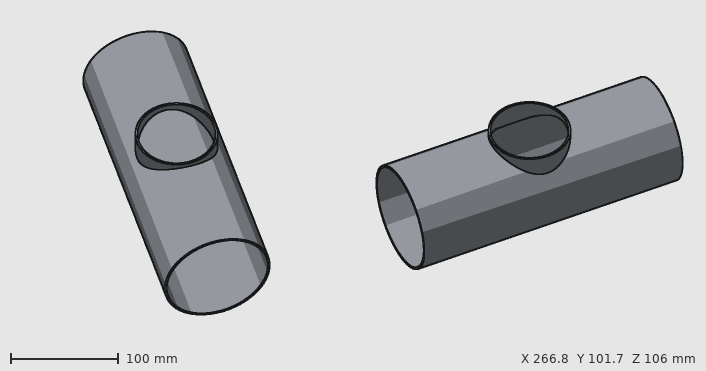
import cadquery as cq

run_length = 266.8
run_outer_diameter = 101.7
run_inner_diameter = 97.6

branch_outer_diameter = 76.3
branch_inner_diameter = 72.3
overall_height = 106.0
branch_top = overall_height - run_outer_diameter / 2


def run_cylinder(diameter):
    """Solid cylinder along the full length of the run."""
    return cq.Workplane("YZ").circle(diameter / 2).extrude(run_length / 2, both=True)


def branch_cylinder(diameter):
    """Solid cylinder from the run axis up to the branch mouth."""
    return cq.Workplane("XY").circle(diameter / 2).extrude(branch_top)


body = run_cylinder(run_outer_diameter).union(branch_cylinder(branch_outer_diameter))
result = body.cut(run_cylinder(run_inner_diameter)).cut(branch_cylinder(branch_inner_diameter))